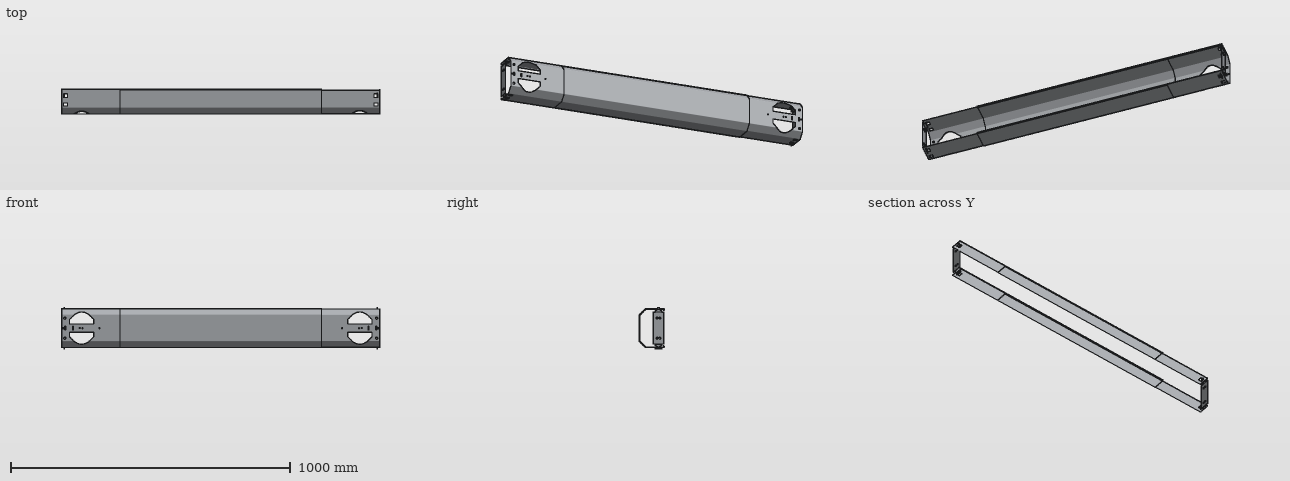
import cadquery as cq
import math

total_length = 1138.81
plate_overhang = 0.4
channel_length = 930.0
depth = 90.0
height = 140.0
sheet = 1.5

chamfer = 22.3
half_bend_angle = math.radians(22.5)
bend_inner_radius = 1.0
bend_outer_radius = bend_inner_radius + sheet
hem_radius = 3.5
flange_back_y = depth - hem_radius

front_cut_depth = depth / 2

window_x = 72.0
window_half_width = 43.0
window_sill_z = 15.0
window_side_z = 31.0
window_bend_x = 25.5
window_bend_z = window_side_z + window_half_width - window_bend_x
window_arc_x = 12.0
window_arc_z = 55.5
window_top_z = 57.0

corner_hole_x = 12.0
corner_hole_z = 36.0
corner_hole_diameter = 7.0
end_slot_x = 13.5
middle_slot_x = 41.0
cross_slot_width = 3.0
cross_slot_height = 12.0
slit_width = 3.0
small_hole_positions = (65.0, 75.0, 135.5)
small_hole_diameter = 3.0

flange_slot_x = 8.0
flange_slot_length = 13.0
rear_slot_y = 66.5
rear_slot_width = 13.0
front_slot_y = 35.0
front_slot_width = 10.0

plate_y = 69.0
plate_width = 38.0
panel_height = 114.0
plate_hole_spacing = 10.0
plate_hole_z = 36.0
plate_hole_diameter = 6.0
tab_width = 24.0
tab_x = 9.0
tongue_width = 7.6
taper_bottom_z = 62.0
taper_top_z = 66.5
hook_tip_z = 74.0


def channel_outline(inset):
    """Chamfered channel section in the Y-Z plane, moved inward from the outer skin by inset."""
    corner_shift = inset * math.tan(half_bend_angle)
    front_y = inset
    half_height = height / 2 - inset
    wall_z = height / 2 - chamfer - corner_shift
    flange_y = chamfer + corner_shift
    return [
        (flange_back_y, half_height),
        (flange_y, half_height),
        (front_y, wall_z),
        (front_y, -wall_z),
        (flange_y, -half_height),
        (flange_back_y, -half_height),
    ]


def channel_prism(inset, bend_radius):
    """Solid bar with the channel outline and rounded bends between flanges, chamfers and wall."""
    section = cq.Workplane("YZ", origin=(plate_overhang, 0, 0)).polyline(channel_outline(inset)).close()
    return section.extrude(channel_length).edges("|X and (not >Y)").fillet(bend_radius)


def channel_blank(inset):
    """Folded sheet along X with an open back."""
    skin = channel_prism(inset, bend_outer_radius)
    return skin.cut(channel_prism(inset + sheet, bend_inner_radius))


def make_hem():
    """Half-round curl along the back edge of the upper flange."""
    inner_radius = hem_radius - sheet
    return (
        cq.Workplane("YZ", origin=(plate_overhang, flange_back_y, height / 2 - hem_radius))
        .moveTo(0, hem_radius)
        .threePointArc((hem_radius, 0), (0, -hem_radius))
        .lineTo(0, -inner_radius)
        .threePointArc((inner_radius, 0), (0, inner_radius))
        .close()
        .extrude(channel_length)
    )


def front_opening(sketch):
    """Cutter through the front wall and chamfers from a closed outline in X-Z."""
    return sketch.extrude(-front_cut_depth)


def window_cutter():
    """Matching windows above and below the middle bar, each with a pointed, arc-tipped outline."""
    upper = front_opening(
        cq.Workplane("XZ")
        .moveTo(window_x - window_half_width, window_sill_z)
        .lineTo(window_x - window_half_width, window_side_z)
        .lineTo(window_x - window_bend_x, window_bend_z)
        .lineTo(window_x - window_arc_x, window_arc_z)
        .threePointArc((window_x, window_top_z), (window_x + window_arc_x, window_arc_z))
        .lineTo(window_x + window_bend_x, window_bend_z)
        .lineTo(window_x + window_half_width, window_side_z)
        .lineTo(window_x + window_half_width, window_sill_z)
        .close()
    )
    return upper.union(upper.mirror("XY"))


def front_wall_cutter():
    """Corner holes, cross slots, end slit and the row of small holes."""
    corner_points = [(corner_hole_x, side * corner_hole_z) for side in (-1, 1)]
    small_points = [(x, 0) for x in small_hole_positions]
    slot_points = [(end_slot_x, 0), (middle_slot_x, 0)]
    corner_holes = front_opening(
        cq.Workplane("XZ").pushPoints(corner_points).circle(corner_hole_diameter / 2)
    )
    small_holes = front_opening(
        cq.Workplane("XZ").pushPoints(small_points).circle(small_hole_diameter / 2)
    )
    slots = front_opening(
        cq.Workplane("XZ").pushPoints(slot_points).rect(cross_slot_width, cross_slot_height)
    )
    slit = front_opening(
        cq.Workplane("XZ").center(end_slot_x / 2, 0).rect(end_slot_x, slit_width)
    )
    return corner_holes.union(small_holes).union(slots).union(slit)


def flange_slot_cutter():
    """Rectangular slots passing through both flanges."""
    rear_slot = cq.Workplane("XY").box(
        flange_slot_length, rear_slot_width, height, centered=(False, True, True)
    ).translate((flange_slot_x, rear_slot_y, 0))
    front_slot = cq.Workplane("XY").box(
        flange_slot_length, front_slot_width, height, centered=(False, True, True)
    ).translate((flange_slot_x, front_slot_y, 0))
    return rear_slot.union(front_slot)


def make_channel(inset):
    """Channel with its end openings at the near end."""
    channel = channel_blank(inset).cut(window_cutter()).cut(front_wall_cutter())
    return channel.cut(flange_slot_cutter())


def mirror_to_far_end(body):
    """Mirror a body about the middle of the total length."""
    return body.mirror("YZ", (total_length / 2, 0, 0))


def plate_panel():
    """Flat panel with two pairs of holes."""
    hole_points = [
        (plate_y + y_side * plate_hole_spacing / 2, z_side * plate_hole_z)
        for y_side in (-1, 1)
        for z_side in (-1, 1)
    ]
    panel = cq.Workplane("YZ").center(plate_y, 0).rect(plate_width, panel_height).extrude(sheet)
    holes = cq.Workplane("YZ").pushPoints(hole_points).circle(plate_hole_diameter / 2).extrude(sheet)
    return panel.cut(holes)


def plate_tab():
    """Joggled upper tab: a shelf going inward, then a tapered upright ending in a tongue."""
    shelf_z = panel_height / 2
    shelf = cq.Workplane("XY").box(
        tab_x + sheet, tab_width, sheet, centered=(False, True, False)
    ).translate((0, plate_y, shelf_z))
    upright = (
        cq.Workplane("YZ", origin=(tab_x, plate_y, 0))
        .polyline([
            (-tab_width / 2, shelf_z),
            (-tab_width / 2, taper_bottom_z),
            (-tongue_width / 2, taper_top_z),
            (-tongue_width / 2, hook_tip_z),
            (tongue_width / 2, hook_tip_z),
            (tongue_width / 2, taper_top_z),
            (tab_width / 2, taper_bottom_z),
            (tab_width / 2, shelf_z),
        ])
        .close()
        .extrude(sheet)
    )
    return shelf.union(upright)


def hook_head():
    """Wide head below the bottom flange that locks the lower tongue in its slot."""
    head_height = hook_tip_z - height / 2
    return cq.Workplane("XY").box(
        sheet, tab_width, head_height, centered=(False, True, False)
    ).translate((tab_x, plate_y, -hook_tip_z))


def make_end_plate():
    """Panel with an upper and a lower hooked tab, standing at the near end."""
    upper_tab = plate_tab()
    lower_tab = upper_tab.mirror("XY").union(hook_head())
    return plate_panel().union(upper_tab).union(lower_tab)


hem = make_hem()
outer_channel = make_channel(0).union(hem).union(hem.mirror("XY"))
inner_channel = mirror_to_far_end(make_channel(sheet))
near_plate = make_end_plate()
far_plate = mirror_to_far_end(make_end_plate())

result = cq.Compound.makeCompound([
    outer_channel.val(),
    inner_channel.val(),
    near_plate.val(),
    far_plate.val(),
])